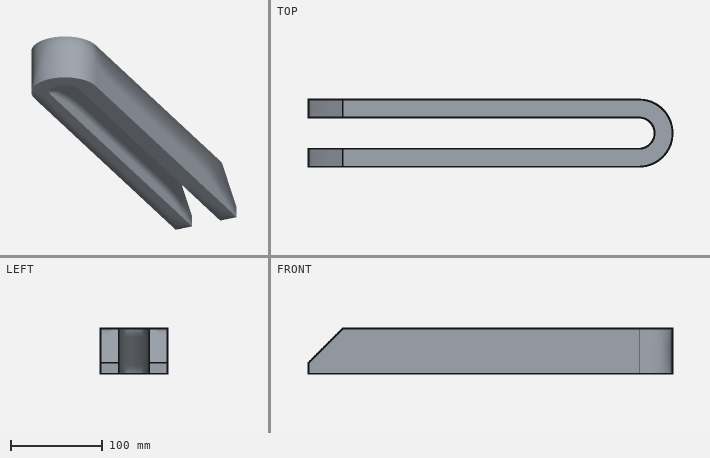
import cadquery as cq

length = 400.0
width = 74.0
height = 50.0
leg_width = 20.0
tip_height = 12.0

outer_radius = width / 2
inner_radius = outer_radius - leg_width
bend_center_x = length / 2 - outer_radius
tip_x = -length / 2
bevel_size = height - tip_height


def rounded_bar(radius):
    """Full-height bar from the leg tips to the bend, with a half-round end."""
    return (
        cq.Workplane("XY")
        .moveTo(tip_x, -radius)
        .lineTo(bend_center_x, -radius)
        .threePointArc((bend_center_x + radius, 0), (bend_center_x, radius))
        .lineTo(tip_x, radius)
        .close()
        .extrude(height)
    )


body = rounded_bar(outer_radius).cut(rounded_bar(inner_radius))

tip_bevel = (
    cq.Workplane("XZ")
    .moveTo(tip_x, tip_height)
    .lineTo(tip_x + bevel_size, height)
    .lineTo(tip_x, height)
    .close()
    .extrude(outer_radius, both=True)
)

result = body.cut(tip_bevel)